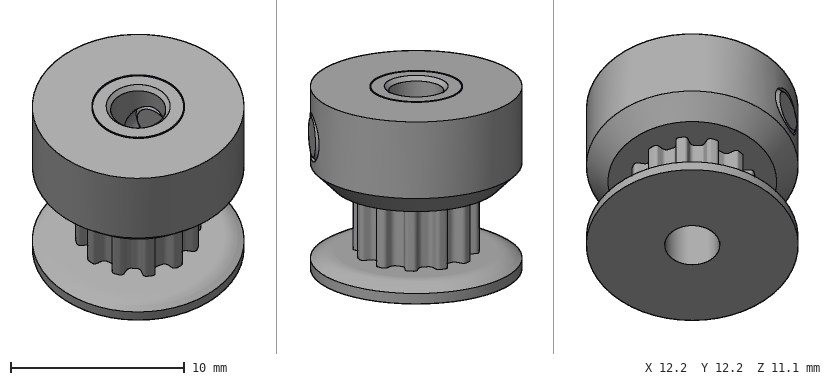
import cadquery as cq
import math

outer_radius = 6.1
height = 11.13

rim_height = 0.65
cone_angle = 30.0
blend_radius = 2.0
flange_height = 1.12
flange_flat_radius = 4.75

hub_bottom = 5.2
hub_chamfer = 1.24

tooth_count = 12
tooth_tip_radius = 3.63
tooth_root_radius = 2.93
root_half_width = 0.34
wall_angle = 22.5
tooth_root_fillet = 0.3
tooth_tip_fillet = 0.22

bore_radius = 1.58
bore_chamfer = 0.25

ring_outer_radius = 2.67
ring_width = 0.05
ring_depth = 0.05

screw_height = 8.39
screw_radius = 1.41
screw_chamfer = 0.25


def make_flange():
    """Flange turned from a half profile in the XZ plane."""
    cone = math.radians(cone_angle)
    blend_centre_z = flange_height - blend_radius

    def blend_point(angle):
        return (
            flange_flat_radius + blend_radius * math.sin(angle),
            blend_centre_z + blend_radius * math.cos(angle),
        )

    return (
        cq.Workplane("XZ")
        .lineTo(outer_radius, 0)
        .lineTo(outer_radius, rim_height)
        .lineTo(*blend_point(cone))
        .threePointArc(blend_point(cone / 2), blend_point(0))
        .lineTo(0, flange_height)
        .close()
        .revolve(360, (0, 0), (0, 1))
    )


def make_teeth():
    """Toothed section: a cylinder cut by flaring grooves, with rounded roots and tooth tips."""
    flare = (outer_radius - tooth_root_radius) * math.tan(math.radians(wall_angle))
    mouth_half_width = root_half_width + flare
    groove = (
        cq.Workplane("XY")
        .moveTo(tooth_root_radius, root_half_width)
        .lineTo(tooth_root_radius, -root_half_width)
        .lineTo(outer_radius, -mouth_half_width)
        .lineTo(outer_radius, mouth_half_width)
        .close()
        .extrude(hub_bottom)
        .faces("<X")
        .edges("|Z")
        .fillet(tooth_root_fillet)
    )
    teeth = cq.Workplane("XY").circle(tooth_tip_radius).extrude(hub_bottom)
    for index in range(tooth_count):
        teeth = teeth.cut(groove.rotate((0, 0, 0), (0, 0, 1), index * 360 / tooth_count))

    middle_radius = (tooth_tip_radius + tooth_root_radius) / 2
    tip_corners = teeth.edges("|Z").filter(
        lambda edge: math.hypot(edge.Center().x, edge.Center().y) > middle_radius
    )
    return tip_corners.fillet(tooth_tip_fillet)


def make_hub():
    return (
        cq.Workplane("XY")
        .workplane(offset=hub_bottom)
        .circle(outer_radius)
        .extrude(height - hub_bottom)
        .faces("<Z")
        .chamfer(hub_chamfer)
    )


def make_bore():
    """Through bore with a countersunk top edge."""
    mouth_radius = bore_radius + bore_chamfer
    bore = cq.Workplane("XY").circle(bore_radius).extrude(height)
    mouth = cq.Solid.makeCone(
        bore_radius, mouth_radius, bore_chamfer, pnt=cq.Vector(0, 0, height - bore_chamfer)
    )
    return bore.union(cq.Workplane(mouth))


def make_ring_groove():
    return (
        cq.Workplane("XY")
        .workplane(offset=height - ring_depth)
        .circle(ring_outer_radius)
        .circle(ring_outer_radius - ring_width)
        .extrude(ring_depth)
    )


def make_y_cylinder(start_y, end_y):
    """Cylinder of the screw radius along Y at the screw height."""
    return (
        cq.Workplane("XZ", origin=(0, start_y, screw_height))
        .circle(screw_radius)
        .extrude(start_y - end_y)
    )


def make_screw():
    """Set screw with both ends chamfered."""
    return make_y_cylinder(bore_radius, outer_radius).faces("<Y or >Y").chamfer(screw_chamfer)


result = (
    make_flange()
    .union(make_teeth())
    .union(make_hub())
    .cut(make_bore())
    .cut(make_ring_groove())
    .cut(make_y_cylinder(0, outer_radius))
    .union(make_screw())
)